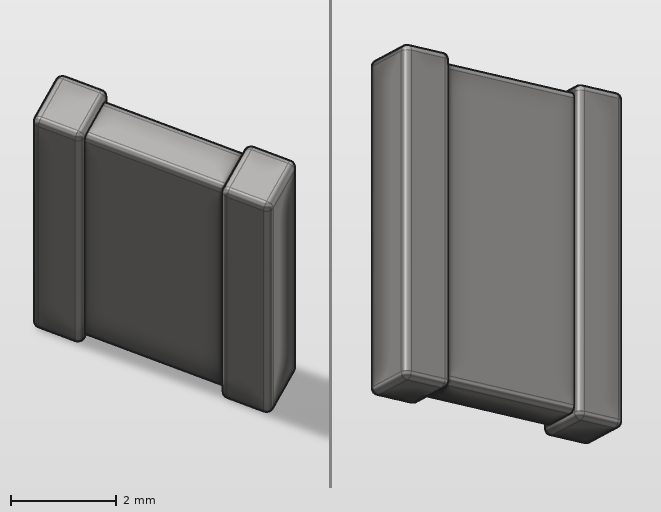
import cadquery as cq

LENGTH_X = 5.0
DEPTH_Y = 1.25
HEIGHT_Z = 6.8

TERMINAL_WIDTH = 1.05
TERMINAL_CENTER_X = (LENGTH_X - TERMINAL_WIDTH) / 2

CORE_HEIGHT = 6.52
TERMINAL_OVERHANG = (HEIGHT_Z - CORE_HEIGHT) / 2
CORE_DEPTH = DEPTH_Y - 2 * TERMINAL_OVERHANG
CORE_LENGTH = LENGTH_X - 2 * TERMINAL_WIDTH

EDGE_RADIUS = TERMINAL_OVERHANG


def make_core():
    """Flat block with its four long edges rounded, ending flat against the terminals."""
    block = cq.Workplane("XY").box(CORE_LENGTH, CORE_DEPTH, CORE_HEIGHT)
    return block.edges("|X").fillet(EDGE_RADIUS)


def make_terminal(center_x):
    """Upright bar with every edge rounded, centred at the given X."""
    bar = cq.Workplane("XY").box(TERMINAL_WIDTH, DEPTH_Y, HEIGHT_Z)
    return bar.edges().fillet(EDGE_RADIUS).translate((center_x, 0, 0))


core = make_core()
terminals = [make_terminal(side * TERMINAL_CENTER_X) for side in (-1, 1)]

result = cq.Compound.makeCompound([core.val(), *[terminal.val() for terminal in terminals]])